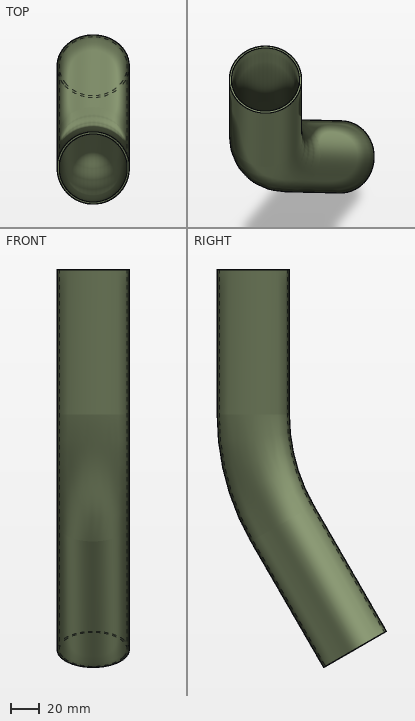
import cadquery as cq
import math

outer_diameter = 50.7
inner_diameter = 47.5
leg_length = 101.6
bend_radius = 152.3
bend_angle = math.radians(30)


def elbow_point(angle):
    """Centreline point (Y, Z) after turning by angle from the upper leg."""
    return (bend_radius * (1 - math.cos(angle)), -bend_radius * math.sin(angle))


elbow_end = elbow_point(bend_angle)
lower_end = (
    elbow_end[0] + leg_length * math.sin(bend_angle),
    elbow_end[1] - leg_length * math.cos(bend_angle),
)
centreline = (
    cq.Workplane("YZ")
    .moveTo(0, leg_length)
    .lineTo(0, 0)
    .threePointArc(elbow_point(bend_angle / 2), elbow_end)
    .lineTo(*lower_end)
)

result = (
    cq.Workplane("XY")
    .workplane(offset=leg_length)
    .circle(outer_diameter / 2)
    .circle(inner_diameter / 2)
    .sweep(centreline)
)